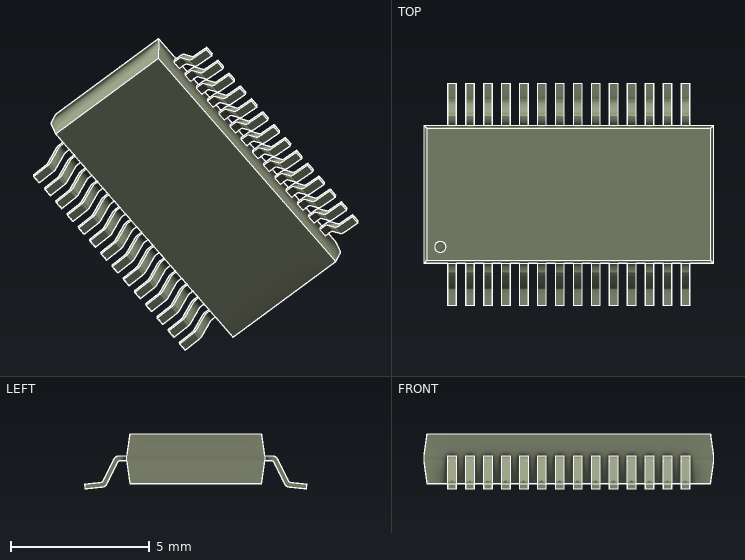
import cadquery as cq
import math

body_length = 10.5
body_width = 5.0
overall_height = 2.0
standoff = 0.19
draft_angle = 8.0

leads_per_side = 14
lead_pitch = 0.65
lead_width = 0.32
lead_thickness = 0.18
lead_span = 8.05
lead_top = 1.2
shoulder_corner = 2.91
leg_angle = 63.5
foot_angle = 6.0
outer_bend_radius = 0.2
inner_bend_radius = 0.1
lead_embed = 0.5

mark_diameter = 0.4
mark_depth = 0.1
mark_inset = 0.6

band_bottom = lead_top - lead_thickness


def tapered_half(base_z, height):
    """Half of the body, narrowing away from the parting band; a negative height grows down."""
    return (
        cq.Workplane("XY")
        .workplane(offset=base_z)
        .rect(body_length, body_width)
        .extrude(height, taper=draft_angle)
    )


def make_body():
    band = (
        cq.Workplane("XY")
        .workplane(offset=band_bottom)
        .rect(body_length, body_width)
        .extrude(lead_thickness)
    )
    upper = tapered_half(lead_top, overall_height - lead_top)
    lower = tapered_half(band_bottom, standoff - band_bottom)
    return band.union(upper).union(lower)


def make_pin_one_mark():
    return (
        cq.Workplane("XY")
        .workplane(offset=overall_height - mark_depth)
        .center(mark_inset - body_length / 2, mark_inset - body_width / 2)
        .circle(mark_diameter / 2)
        .extrude(mark_depth)
    )


def make_lead():
    """One lead on the +Y side, centred on X = 0: shoulder, steep leg and sloping foot."""
    leg = math.radians(leg_angle)
    foot = math.radians(foot_angle)
    root_y = body_width / 2 - lead_embed

    tip_upper = (lead_span / 2, lead_thickness * math.cos(foot))
    tip_lower = (lead_span / 2 - lead_thickness * math.sin(foot), 0)

    ankle_run = (
        lead_top - tip_upper[1] - (tip_upper[0] - shoulder_corner) * math.tan(foot)
    ) / (math.tan(leg) - math.tan(foot))
    ankle_upper = (shoulder_corner + ankle_run, lead_top - ankle_run * math.tan(leg))

    shoulder_lower = (
        shoulder_corner - lead_thickness * math.tan(leg / 2),
        band_bottom,
    )
    bisector = (leg + foot) / 2
    miter = lead_thickness / math.cos((leg - foot) / 2)
    ankle_lower = (
        ankle_upper[0] - miter * math.sin(bisector),
        ankle_upper[1] - miter * math.cos(bisector),
    )

    strip = (
        cq.Workplane("YZ")
        .polyline([
            (root_y, lead_top),
            (shoulder_corner, lead_top),
            ankle_upper,
            tip_upper,
            tip_lower,
            ankle_lower,
            shoulder_lower,
            (root_y, band_bottom),
        ])
        .close()
        .extrude(lead_width / 2, both=True)
    )

    def bend_edge(corner):
        return cq.selectors.NearestToPointSelector((0, corner[0], corner[1]))

    strip = strip.edges("|X").edges(bend_edge((shoulder_corner, lead_top))).fillet(outer_bend_radius)
    strip = strip.edges("|X").edges(bend_edge(ankle_lower)).fillet(outer_bend_radius)
    strip = strip.edges("|X").edges(bend_edge(shoulder_lower)).fillet(inner_bend_radius)
    return strip.edges("|X").edges(bend_edge(ankle_upper)).fillet(inner_bend_radius)


result = make_body().cut(make_pin_one_mark())

back_lead = make_lead()
front_lead = back_lead.mirror("XZ")
first_lead_x = -lead_pitch * (leads_per_side - 1) / 2
for index in range(leads_per_side):
    offset = (first_lead_x + index * lead_pitch, 0, 0)
    result = result.union(back_lead.translate(offset))
    result = result.union(front_lead.translate(offset))